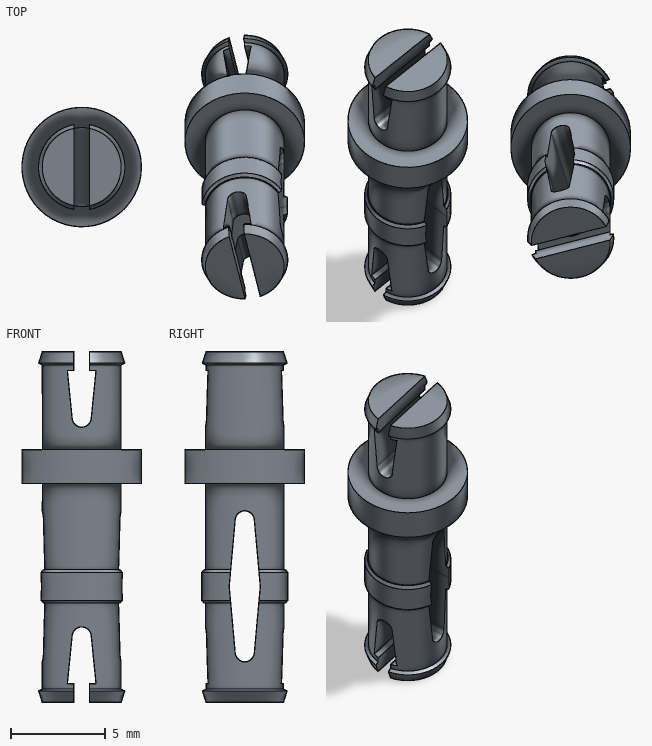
import cadquery as cq
import math

length = 18.63
body_diameter = 4.2

collar_diameter = 6.35
collar_bottom = 11.63
collar_height = 1.8

lip_diameter = 4.58
lip_taper_height = 0.61
lip_back_height = 0.1
ring_center = 6.17
ring_height = 1.79
ring_chamfer = 0.15

tip_radius = 0.5
end_slot_depth = 4.0
end_slot_base_width = 1.5
entry_width = 0.82
entry_depth = 1.0
middle_slot_half_length = 4.0
middle_slot_width = 1.64

body_radius = body_diameter / 2
lip_radius = lip_diameter / 2
cut_length = 2 * collar_diameter


def snap_lip():
    """Lip on the lower end, widening upward and then stepping back to the body."""
    lip_top = lip_taper_height + lip_back_height
    return (
        cq.Workplane("XZ")
        .moveTo(0, 0)
        .lineTo(body_radius, 0)
        .lineTo(lip_radius, lip_taper_height)
        .lineTo(body_radius, lip_top)
        .lineTo(0, lip_top)
        .close()
        .revolve(360, (0, 0, 0), (0, 1, 0))
    )


def tapered_slot(base_width, height):
    """Cutter along Y: flat base on Z = 0, narrowing upward to a round tip."""
    half_base = base_width / 2
    tip_center = height - tip_radius
    corner_distance = math.hypot(half_base, tip_center)
    tangent_angle = math.acos(tip_radius / corner_distance) - math.atan2(tip_center, half_base)
    tangent_x = tip_radius * math.cos(tangent_angle)
    tangent_z = tip_center + tip_radius * math.sin(tangent_angle)
    return (
        cq.Workplane("XZ")
        .moveTo(-half_base, 0)
        .lineTo(half_base, 0)
        .lineTo(tangent_x, tangent_z)
        .threePointArc((0, height), (-tangent_x, tangent_z))
        .close()
        .extrude(cut_length / 2, both=True)
    )


def end_slot():
    """Cutter for the lower end: narrow entry opening into a tapered slot."""
    entry = cq.Workplane("XY").box(entry_width, cut_length, entry_depth, centered=(True, True, False))
    slot = tapered_slot(end_slot_base_width, end_slot_depth - entry_depth)
    return entry.union(slot.translate((0, 0, entry_depth)))


def middle_slot():
    """Cutter along X through the snap ring, widest at the ring center."""
    upper_half = tapered_slot(middle_slot_width, middle_slot_half_length)
    both_halves = upper_half.union(upper_half.mirror("XY"))
    return both_halves.rotate((0, 0, 0), (0, 0, 1), 90).translate((0, 0, ring_center))


def at_top(lower_feature):
    """Mirror a lower-end feature onto the upper end."""
    return lower_feature.mirror("XY").translate((0, 0, length))


body = cq.Workplane("XY").circle(body_radius).extrude(length)
collar = (
    cq.Workplane("XY")
    .workplane(offset=collar_bottom)
    .circle(collar_diameter / 2)
    .extrude(collar_height)
)
ring = (
    cq.Workplane("XY")
    .workplane(offset=ring_center - ring_height / 2)
    .circle(lip_radius)
    .extrude(ring_height)
    .edges()
    .chamfer(ring_chamfer)
)

result = body.union(collar).union(ring)
result = result.union(snap_lip()).union(at_top(snap_lip()))
result = result.cut(end_slot()).cut(at_top(end_slot())).cut(middle_slot())